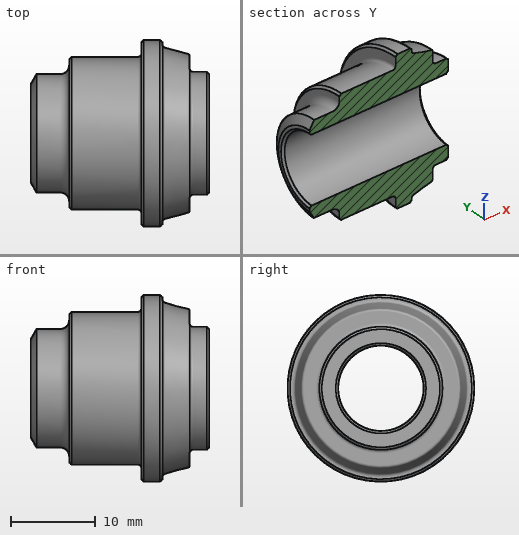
import cadquery as cq
import math

total_length = 21.0
nose_length = 4.5
flange_start = 13.0
flange_width = 2.5
flange_end = flange_start + flange_width
cone_end = 18.7

bore_diameter = 10.0
nose_diameter = 14.0
tail_diameter = 14.5
body_diameter = 18.0
flange_diameter = 22.0
cone_end_diameter = 18.61
cone_half_angle = 15.0

nose_bevel_length = 0.7
nose_bevel_depth = 1.2
edge_chamfer = 0.3
nose_root_fillet = 1.0
root_fillet = 0.4
cone_rim_fillet = 0.3

cone_end_radius = cone_end_diameter / 2
cone_rise = (cone_end - flange_end) * math.tan(math.radians(cone_half_angle))
cone_root_radius = cone_end_radius + cone_rise


def cylinder(start, end, diameter):
    """Solid cylinder along X between two axial stations."""
    return cq.Workplane("YZ", origin=(start, 0, 0)).circle(diameter / 2).extrude(end - start)


def edge_at(station, radius):
    """Selector for the circular edge at one axial station and radius."""
    tolerance = 0.002
    return cq.selectors.BoxSelector(
        (station - tolerance, -radius - tolerance, -radius - tolerance),
        (station + tolerance, radius + tolerance, radius + tolerance),
        boundingbox=True,
    )


nose = cylinder(0, nose_length, nose_diameter)
nose = nose.faces("<X").edges().chamfer(nose_bevel_length, nose_bevel_depth)

body = cylinder(nose_length, flange_start, body_diameter)
body = body.faces("<X").edges().chamfer(edge_chamfer)

flange = cylinder(flange_start, flange_end, flange_diameter).edges("%CIRCLE").chamfer(edge_chamfer)

cone = (
    cq.Workplane("XY")
    .moveTo(flange_end, 0)
    .lineTo(flange_end, cone_root_radius)
    .lineTo(cone_end, cone_end_radius)
    .lineTo(cone_end, 0)
    .close()
    .revolve(360, (0, 0, 0), (1, 0, 0))
)
cone = cone.faces(">X").edges().fillet(cone_rim_fillet)

tail = cylinder(cone_end, total_length, tail_diameter)
tail = tail.faces(">X").edges().chamfer(edge_chamfer)

result = nose.union(body).union(flange).union(cone).union(tail)

root_corners = [
    (nose_length, nose_diameter / 2, nose_root_fillet),
    (flange_start, body_diameter / 2, root_fillet),
    (flange_end, cone_root_radius, root_fillet),
    (cone_end, tail_diameter / 2, root_fillet),
]
for station, corner_radius, fillet_radius in root_corners:
    result = result.edges(edge_at(station, corner_radius)).fillet(fillet_radius)

bore = cylinder(0, total_length, bore_diameter)
result = result.cut(bore)
for mouth in (0, total_length):
    result = result.edges(edge_at(mouth, bore_diameter / 2)).chamfer(edge_chamfer)